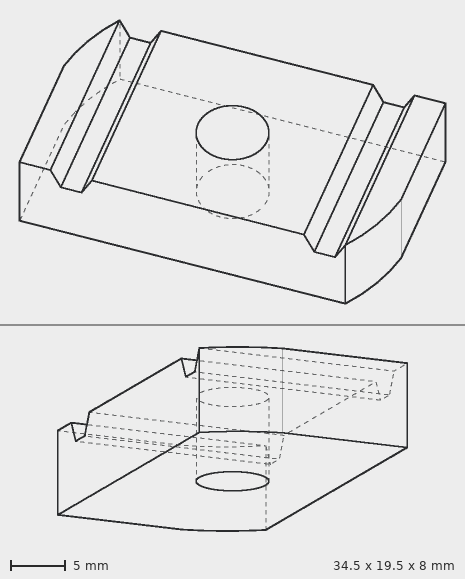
import cadquery as cq

length = 34.5
width = 19.5
height = 8.0
hole_diameter = 6.65

groove_offset = 12.25
groove_top_width = 4.0
groove_floor_width = 2.0
groove_depth = 2.0

corner_radius = 17.25
corner_run_x = 3.0
corner_run_y = 6.97

half_length = length / 2
half_width = width / 2


def rounded_corner_block():
    """Block with arcs at the (-X, +Y) and (+X, -Y) corners."""
    arc_x = half_length - corner_run_x
    arc_y = half_width - corner_run_y
    return (
        cq.Workplane("XY")
        .moveTo(-half_length, -half_width)
        .lineTo(arc_x, -half_width)
        .radiusArc((half_length, -arc_y), -corner_radius)
        .lineTo(half_length, half_width)
        .lineTo(-arc_x, half_width)
        .radiusArc((-half_length, arc_y), -corner_radius)
        .close()
        .extrude(height)
    )


def groove(center_x):
    """Cutter for one groove that runs the full width along Y."""
    half_top = groove_top_width / 2
    half_floor = groove_floor_width / 2
    floor_z = height - groove_depth
    return (
        cq.Workplane("XZ")
        .polyline([
            (center_x - half_top, height),
            (center_x - half_floor, floor_z),
            (center_x + half_floor, floor_z),
            (center_x + half_top, height),
        ])
        .close()
        .extrude(half_width, both=True)
    )


result = rounded_corner_block()
for side in (-1, 1):
    result = result.cut(groove(side * groove_offset))

result = result.faces("<Z").workplane(origin=(0, 0, 0)).hole(hole_diameter)